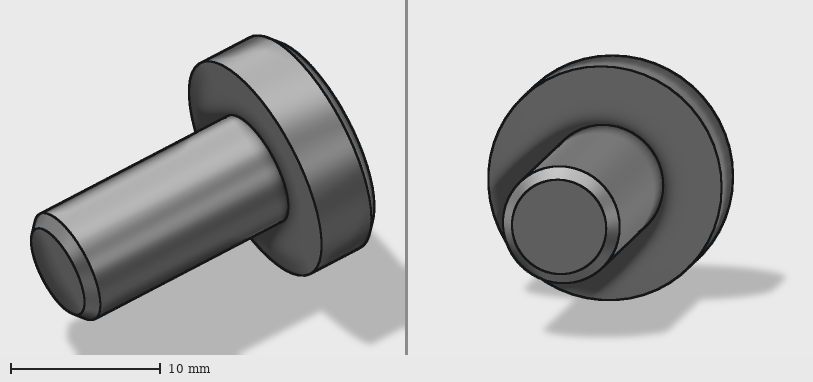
import cadquery as cq

total_length = 20.65
head_diameter = 15.87
head_thickness = 4.77
shank_diameter = head_diameter / 2
chamfer = 0.76

shank_length = total_length - head_thickness


def chamfered_disc(diameter, length, chamfered_end):
    """Cylinder along +Y from the origin, chamfered at one end."""
    disc = cq.Workplane("XZ").circle(diameter / 2).extrude(-length)
    return disc.faces(chamfered_end).edges().chamfer(chamfer)


shank = chamfered_disc(shank_diameter, shank_length, "<Y")

head = chamfered_disc(head_diameter, head_thickness, ">Y").translate((0, shank_length, 0))

result = shank.union(head)